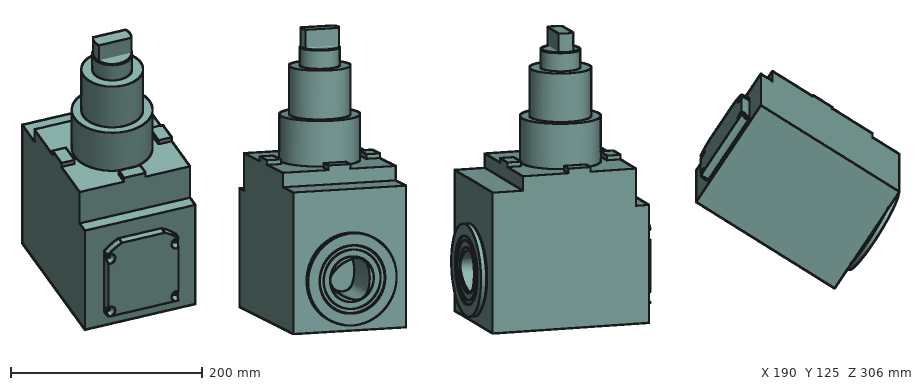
import cadquery as cq
import math

width = 125.0
half_width = width / 2
body_left = -95.8
body_right = 76.8
left_shoulder_z = 150.5
right_shoulder_z = 126.0
body_top = 166.0
bore_axis_z = 56.0

pad_width = 24.5
pad_length = 15.0
pad_height = 5.0

spindle_steps = [(84.8, 214.2), (65.0, 266.0), (42.0, 286.0)]
shaft_chamfer = 1.0
tang_diameter = 40.5
tang_thickness = 16.2
tang_fillet = 1.0
overall_height = 306.0

flange_diameter = 98.0
flange_thickness = 5.5
flange_neck_diameter = 89.0
flange_left = -104.0
recess_mouth_diameter = 72.8
face_steps = [71.5, 63.0, 48.5]
face_step_depth = 0.5

socket_lobe_reach = 24.0
socket_flat_reach = 20.0
socket_lobe_radius = 12.2
socket_depth = 46.0
socket_shrink = 1.2

cover_right = 86.0
cover_half_width = 40.7
cover_rise = 50.5
cover_corner_radius = 56.0
cover_chamfer_length = 5.0
cover_chamfer_drop = 1.2
screw_y = 38.0
screw_z = 33.5
screw_head_radius = 6.0
screw_head_depth = 5.0
screw_hole_diameter = 4.0
screw_hole_depth = 9.2


def x_cylinder(diameter, start, end):
    """Cylinder on the bore axis between two X positions."""
    plane = cq.Workplane("YZ", origin=(start, 0, bore_axis_z))
    return plane.circle(diameter / 2).extrude(end - start)


def make_housing():
    outline = [
        (body_left, 0),
        (body_right, 0),
        (body_right, right_shoulder_z),
        (half_width, right_shoulder_z),
        (half_width, body_top),
        (-half_width, body_top),
        (-half_width, left_shoulder_z),
        (body_left, left_shoulder_z),
    ]
    housing = cq.Workplane("XZ").polyline(outline).close().extrude(half_width, both=True)
    pad = (
        cq.Workplane("XY", origin=(half_width - pad_length / 2, 0, body_top))
        .rect(pad_length, pad_width)
        .extrude(pad_height)
    )
    for quarter in range(4):
        housing = housing.union(pad.rotate((0, 0, 0), (0, 0, 1), 90 * quarter))
    return housing


def make_spindle():
    base = body_top
    spindle = cq.Workplane("XY")
    for diameter, top in spindle_steps:
        step = cq.Workplane("XY", origin=(0, 0, base)).circle(diameter / 2).extrude(top - base)
        spindle = spindle.union(step)
        base = top
    spindle = spindle.faces(">Z").edges().chamfer(shaft_chamfer)

    tang = cq.Workplane("XY", origin=(0, 0, base)).circle(tang_diameter / 2).extrude(overall_height - base)
    tang = tang.intersect(cq.Workplane("XY").box(tang_thickness, width, 2 * overall_height))

    foot_half = tang_thickness / 2
    foot = (
        cq.Workplane("XZ")
        .moveTo(foot_half, base)
        .lineTo(foot_half + tang_fillet, base)
        .radiusArc((foot_half, base + tang_fillet), tang_fillet)
        .close()
        .extrude(half_width, both=True)
    )
    foot = foot.union(foot.mirror("YZ"))
    round_limit = cq.Workplane("XY").circle(tang_diameter / 2).extrude(overall_height)
    return spindle.union(tang).union(foot.intersect(round_limit))


def make_flange():
    neck_left = flange_left + flange_thickness
    flange = x_cylinder(flange_diameter, flange_left, neck_left)
    return flange.union(x_cylinder(flange_neck_diameter, neck_left, body_left))


def polar(radius, degrees):
    """Point at a polar position, measured from +Y toward +Z."""
    angle = math.radians(degrees)
    return (radius * math.cos(angle), radius * math.sin(angle))


def add_lobed_outline(plane, inset):
    """Three tangent lobes, the first toward +Y, joined by three flatter arcs."""
    lobe_centre = socket_lobe_reach - socket_lobe_radius
    reach_gap = socket_flat_reach - socket_lobe_radius
    flat_centre = (lobe_centre**2 - reach_gap**2) / (2 * reach_gap - lobe_centre)

    lobe_y, lobe_z = polar(lobe_centre, 60)
    tangent_angle = math.degrees(math.atan2(lobe_z, lobe_y + flat_centre))
    lobe_radius = socket_lobe_radius - inset
    touch_y, touch_z = polar(lobe_radius, tangent_angle)
    touch_y += lobe_y
    touch_z += lobe_z
    touch_radius = math.hypot(touch_y, touch_z)
    half_flat = math.degrees(math.atan2(touch_z, touch_y))

    outline = plane.moveTo(*polar(touch_radius, half_flat - 60))
    for lobe_angle in (0, 120, 240):
        outline = outline.threePointArc(
            polar(socket_lobe_reach - inset, lobe_angle),
            polar(touch_radius, lobe_angle + 60 - half_flat),
        )
        outline = outline.threePointArc(
            polar(socket_flat_reach - inset, lobe_angle + 60),
            polar(touch_radius, lobe_angle + 60 + half_flat),
        )
    return outline.close()


def make_socket():
    """Shallow face steps followed by the tapered socket."""
    mouth = (
        cq.Workplane("YZ", origin=(flange_left, 0, bore_axis_z))
        .circle(recess_mouth_diameter / 2)
        .workplane(offset=face_step_depth)
        .circle(face_steps[0] / 2)
        .loft(ruled=True)
    )
    step_start = flange_left
    for diameter in face_steps:
        step_end = step_start + face_step_depth
        mouth = mouth.union(x_cylinder(diameter, step_start, step_end))
        step_start = step_end
    entry = add_lobed_outline(cq.Workplane("YZ", origin=(step_start, 0, bore_axis_z)), 0)
    socket = add_lobed_outline(entry.workplane(offset=socket_depth), socket_shrink).loft(ruled=True)
    return mouth.union(socket)


def make_cover():
    thickness = cover_right - body_right
    cover = (
        cq.Workplane("YZ", origin=(body_right, 0, bore_axis_z))
        .center(0, (cover_rise - cover_half_width) / 2)
        .rect(2 * cover_half_width, cover_rise + cover_half_width)
        .extrude(thickness)
    )
    bevel = [
        (cover_right, cover_half_width),
        (cover_right, cover_half_width - cover_chamfer_drop),
        (cover_right - cover_chamfer_length, cover_half_width),
    ]
    cutter = (
        cq.Workplane("XY", origin=(0, 0, bore_axis_z))
        .polyline(bevel)
        .close()
        .extrude(cover_corner_radius, both=True)
    )
    axis_start = (0, 0, bore_axis_z)
    axis_end = (1, 0, bore_axis_z)
    for angle in (0, 180, 270):
        cover = cover.cut(cutter.rotate(axis_start, axis_end, angle))
    return cover.intersect(x_cylinder(2 * cover_corner_radius, body_right, cover_right))


def make_cover_screw_hole():
    """Countersunk screw hole centred on the bore axis, to be moved to each corner."""
    hole_radius = screw_hole_diameter / 2
    countersink = (
        cq.Workplane("YZ", origin=(cover_right - screw_head_depth, 0, bore_axis_z))
        .circle(hole_radius)
        .workplane(offset=screw_head_depth)
        .circle(screw_head_radius)
        .loft(ruled=True)
    )
    return countersink.union(x_cylinder(screw_hole_diameter, cover_right - screw_hole_depth, cover_right))


cover = make_cover()
screw_hole = make_cover_screw_hole()
for y_side in (-1, 1):
    for z_side in (-1, 1):
        cover = cover.cut(screw_hole.translate((0, y_side * screw_y, z_side * screw_z)))

result = make_housing().union(make_spindle()).union(make_flange()).union(cover).cut(make_socket())